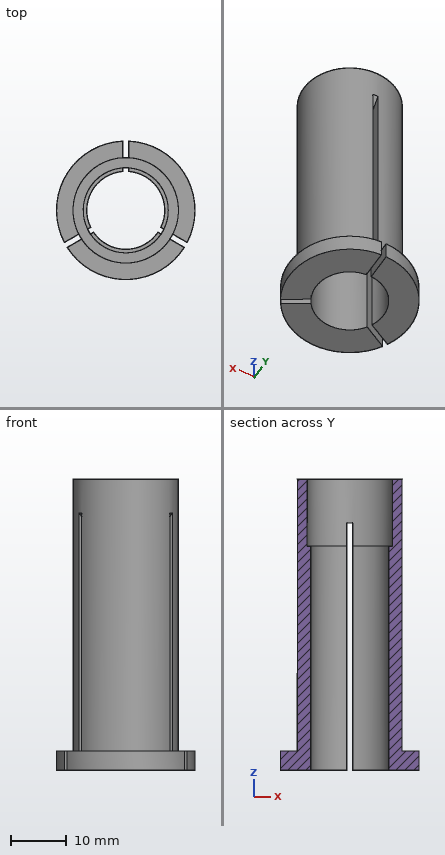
import cadquery as cq
import math

total_height = 52.5
flange_diameter = 25.0
flange_thickness = 3.5
tube_diameter = 19.0

bore_diameter = 14.0
counterbore_diameter = 15.35
counterbore_depth = 12.1

slot_count = 3
slot_width = 1.0
slot_top = 46.4
first_slot_angle = 90.0
rim_clearance = 0.5

slot_end_slope = math.radians(45.0)


def make_flanged_tube():
    flange = cq.Workplane("XY").circle(flange_diameter / 2).extrude(flange_thickness)
    tube = cq.Workplane("XY").circle(tube_diameter / 2).extrude(total_height)
    return flange.union(tube)


def make_stepped_bore():
    bore = cq.Workplane("XY").circle(bore_diameter / 2).extrude(total_height)
    counterbore = (
        cq.Workplane("XY")
        .workplane(offset=total_height - counterbore_depth)
        .circle(counterbore_diameter / 2)
        .extrude(counterbore_depth)
    )
    return bore.union(counterbore)


def make_slot(angle):
    """Radial slot from the axis outward, open at the bottom face, with a sloping upper end."""
    outer_reach = flange_diameter / 2 + rim_clearance
    slope = math.tan(slot_end_slope)
    height_at_axis = slot_top - slope * tube_diameter / 2
    height_at_reach = height_at_axis + slope * outer_reach
    return (
        cq.Workplane("XZ")
        .polyline([
            (0, 0),
            (outer_reach, 0),
            (outer_reach, height_at_reach),
            (0, height_at_axis),
        ])
        .close()
        .extrude(slot_width / 2, both=True)
        .rotate((0, 0, 0), (0, 0, 1), angle)
    )


result = make_flanged_tube().cut(make_stepped_bore())
for index in range(slot_count):
    result = result.cut(make_slot(first_slot_angle + index * 360 / slot_count))